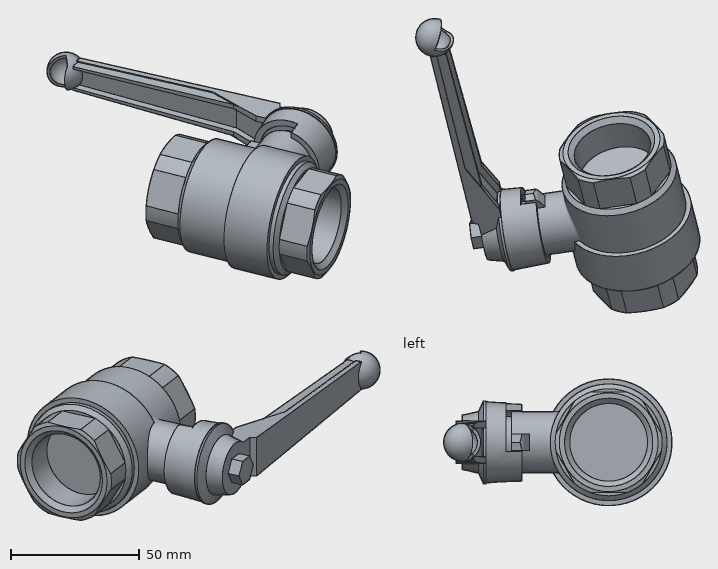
import cadquery as cq
import math


overall_length = 146.0
overall_height = 89.2

half_length = 35.0
hex_across_flats = 39.1
hex_corner_radius = 20.9
end_face_radius = 19.3
end_bevel_length = 0.6
barrel_radius = 22.8
barrel_start = -19.0
barrel_end = 20.9
shoulder_length = 1.8
collar_diameter = 49.5
collar_radius = collar_diameter / 2
collar_start = 0.7
collar_end = 19.1

socket_radius = 15.2
socket_depth = 14.3
mouth_chamfer = 2.0

neck_radius = 12.0
neck_top = 38.0
neck_fillet = 0.9
spigot_radius = 10.0
tab_half_width = 3.2
tab_side_reach = 15.9
tab_tip_reach = 16.6
tab_tip_bottom = 34.6
tab_bevel_reach = 15.3
tab_bevel_bottom = 33.1
tab_root_bottom = 31.0

head_top = 57.2
head_top_radius = 10.7
cone_bottom = 50.8
cone_bottom_radius = 12.1
rim_radius = 16.2
rim_top = 48.9
rim_bottom = 47.9
skirt_top_radius = 15.9
skirt_bottom = 33.9
skirt_bottom_radius = 15.2
skirt_inner_radius = 12.8
skirt_recess_top = 41.2
notch_top = 40.0
notch_x = 3.2
notch_z = -3.5

nut_across_corners = 11.7
nut_top = 62.0

lever_tip = -99.0
lever_root = -5.8
lever_top = 59.5
lever_step = -13.1
lever_step_run = 1.2
tip_bottom = 53.4
bend_x = -29.8
bend_bottom = 52.5
foot_x = -18.1
tip_half_width = 6.0
root_half_width = 8.5
panel_inset = 0.5
panel_top = 57.0
panel_bend = -40.7
panel_end = -27.7
channel_end = -13.1
channel_depth = 2.9
channel_tip_half_width = 4.4
channel_end_half_width = 5.7

knob_radius = 7.5
knob_wall = 1.2
knob_x = half_length - overall_length + knob_radius
knob_y = overall_height - collar_radius - knob_radius
opening_angle = 212.0
opening_spike_x = 2.5


def revolve_about_x(points):
    return cq.Workplane("XY").polyline(points).close().revolve(360, (0, 0, 0), (1, 0, 0))


def stem_cylinder(radius, bottom, top):
    """Cylinder on the Y axis from bottom to top."""
    return cq.Workplane("XZ", origin=(0, bottom, 0)).circle(radius).extrude(bottom - top)


def make_body():
    """Hexagonal ends with turned corners and a barrel with bevelled shoulders."""
    corner_diameter = 2 * hex_across_flats / math.sqrt(3)
    hexagon = (
        cq.Workplane("YZ", origin=(-half_length, 0, 0))
        .polygon(6, corner_diameter)
        .extrude(2 * half_length)
    )
    turned = revolve_about_x([
        (-half_length, 0),
        (-half_length, end_face_radius),
        (-half_length + end_bevel_length, hex_corner_radius),
        (half_length - end_bevel_length, hex_corner_radius),
        (half_length, end_face_radius),
        (half_length, 0),
    ])
    barrel = revolve_about_x([
        (barrel_start - shoulder_length, 0),
        (barrel_start - shoulder_length, hex_corner_radius),
        (barrel_start, barrel_radius),
        (barrel_end, barrel_radius),
        (barrel_end + shoulder_length, hex_corner_radius),
        (barrel_end + shoulder_length, 0),
    ])
    return hexagon.intersect(turned).union(barrel)


def make_collar():
    return (
        cq.Workplane("YZ", origin=(collar_start, 0, 0))
        .circle(collar_radius)
        .extrude(collar_end - collar_start)
    )


def make_socket():
    """Blind bore of the -X end with a chamfered mouth."""
    return revolve_about_x([
        (-half_length, 0),
        (-half_length, socket_radius + mouth_chamfer),
        (-half_length + mouth_chamfer, socket_radius),
        (-half_length + socket_depth, socket_radius),
        (-half_length + socket_depth, 0),
    ])


def make_stop_tab():
    """Tab on the -X side of the neck with a pointed nose and a sloping underside."""
    side = (
        cq.Workplane("XY")
        .polyline([
            (0, neck_top),
            (-tab_tip_reach, neck_top),
            (-tab_tip_reach, tab_tip_bottom),
            (-tab_bevel_reach, tab_bevel_bottom),
            (-neck_radius, tab_root_bottom),
            (0, tab_root_bottom),
        ])
        .close()
        .extrude(tab_half_width, both=True)
    )
    plan = (
        cq.Workplane("XZ")
        .polyline([
            (0, tab_half_width),
            (-tab_side_reach, tab_half_width),
            (-tab_tip_reach, 0),
            (-tab_side_reach, -tab_half_width),
            (0, -tab_half_width),
        ])
        .close()
        .extrude(-neck_top)
    )
    return side.intersect(plan)


def make_head():
    """Turned handle head whose skirt is notched to leave a quarter-turn travel."""
    head = (
        cq.Workplane("XY")
        .moveTo(0, head_top)
        .lineTo(head_top_radius, head_top)
        .lineTo(cone_bottom_radius, cone_bottom)
        .lineTo(rim_radius, rim_top)
        .lineTo(rim_radius, rim_bottom)
        .lineTo(skirt_top_radius, rim_bottom)
        .lineTo(skirt_bottom_radius, skirt_bottom)
        .lineTo(skirt_inner_radius, skirt_bottom)
        .lineTo(skirt_inner_radius, skirt_recess_top)
        .lineTo(0, skirt_recess_top)
        .close()
        .revolve(360, (0, 0, 0), (0, 1, 0))
    )
    reach = 2 * rim_radius
    notch = cq.Workplane("XY").box(reach, notch_top - skirt_bottom, reach, centered=False)
    return head.cut(notch.translate((notch_x - reach, skirt_bottom, notch_z)))


def make_nut():
    return (
        cq.Workplane("XZ", origin=(0, head_top, 0))
        .polygon(6, nut_across_corners)
        .extrude(head_top - nut_top)
    )


def lever_slab(points):
    """Side outline made wide enough to hold the whole lever."""
    return cq.Workplane("XY").polyline(points).close().extrude(root_half_width, both=True)


def lever_plan(start, end, start_half_width, end_half_width):
    """Tapering plan outline standing along Y."""
    return (
        cq.Workplane("XZ")
        .polyline([
            (start, start_half_width),
            (end, end_half_width),
            (end, -end_half_width),
            (start, -start_half_width),
        ])
        .close()
        .extrude(-lever_top)
    )


def make_lever():
    """Bent lever with sunken lower side panels and a channel along its underside."""
    upper_edge = [
        (lever_root, rim_bottom),
        (lever_root, head_top),
        (lever_step + lever_step_run, head_top),
        (lever_step, lever_top),
        (lever_tip, lever_top),
    ]
    under_edge = [(lever_tip, tip_bottom), (bend_x, bend_bottom), (foot_x, rim_bottom)]
    foot_slope = (rim_bottom - bend_bottom) / (foot_x - bend_x)
    panel_end_bottom = bend_bottom + foot_slope * (panel_end - bend_x)
    panel_edge = [
        (lever_tip, panel_top),
        (panel_bend, panel_top),
        (panel_end, panel_end_bottom),
        (foot_x, rim_bottom),
    ]
    core_plan = lever_plan(
        lever_tip, lever_root, tip_half_width - panel_inset, root_half_width - panel_inset
    )
    full_plan = lever_plan(lever_tip, lever_root, tip_half_width, root_half_width)
    core = lever_slab(upper_edge + under_edge).intersect(core_plan)
    flanks = lever_slab(upper_edge + panel_edge).intersect(full_plan)

    channel_end_floor = bend_bottom + channel_depth + foot_slope * (channel_end - bend_x)
    channel_side = [
        (lever_tip, tip_bottom + channel_depth),
        (bend_x, bend_bottom + channel_depth),
        (channel_end, channel_end_floor),
        (channel_end, skirt_bottom),
        (lever_tip, skirt_bottom),
    ]
    channel_plan = lever_plan(
        lever_tip, channel_end, channel_tip_half_width, channel_end_half_width
    )
    channel = lever_slab(channel_side).intersect(channel_plan)
    return core.union(flanks).cut(channel)


def make_knob_opening():
    """Wedge that opens the hollow ball on its -Y side, leaving a pointed lip next to the lever."""
    reach = 2 * knob_radius
    angle = math.radians(opening_angle)
    spike_y = opening_spike_x / math.tan(angle)
    arm = (reach * math.cos(angle), reach * math.sin(angle))
    return (
        cq.Workplane("XY", origin=(knob_x, knob_y, 0))
        .polyline([
            (0, 0),
            arm,
            (arm[0], -reach),
            (opening_spike_x, -reach),
            (opening_spike_x, -spike_y),
        ])
        .close()
        .extrude(reach, both=True)
    )


def knob_sphere(radius):
    return cq.Workplane("XZ").sphere(radius).translate((knob_x, knob_y, 0))


neck = stem_cylinder(neck_radius, 0, neck_top)
body = make_body().union(neck)
joint_zone = cq.selectors.BoxSelector(
    (-neck_radius, 0, -neck_radius), (neck_radius, barrel_radius + neck_fillet, neck_radius)
)
body = body.edges(joint_zone).fillet(neck_fillet)
body = body.union(make_collar())
socket = make_socket()
body = body.cut(socket).cut(socket.mirror("YZ"))
body = body.union(make_stop_tab())
body = body.union(stem_cylinder(spigot_radius, neck_top, skirt_recess_top))

handle = make_head().union(make_lever()).union(make_nut())
knob_cavity = knob_sphere(knob_radius - knob_wall)
knob = knob_sphere(knob_radius).cut(knob_cavity).cut(make_knob_opening())
handle = handle.cut(knob_cavity).union(knob)

result = body.union(handle)